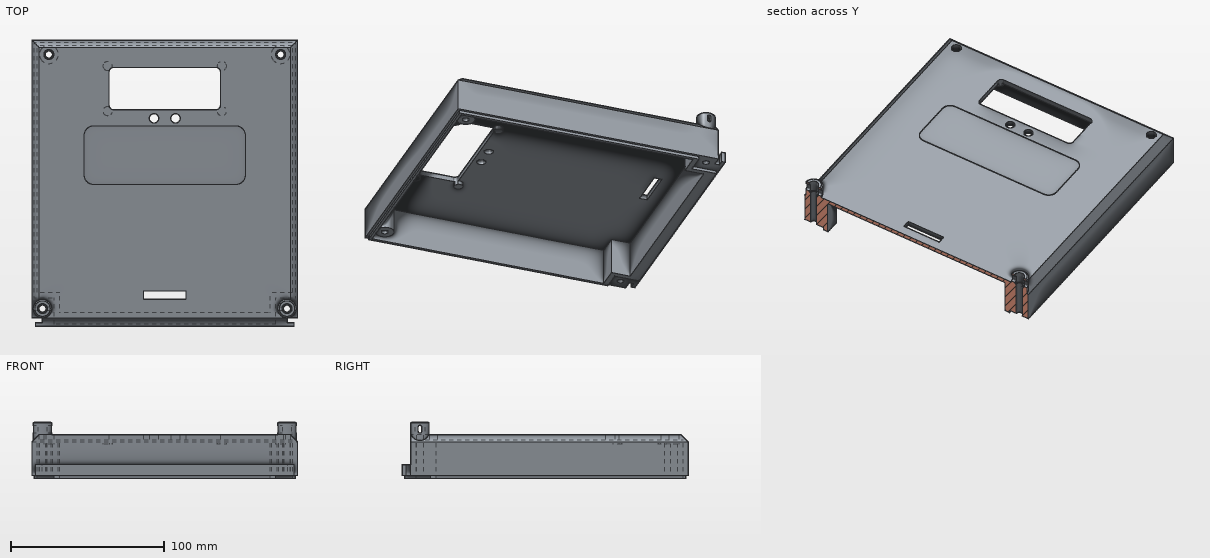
import cadquery as cq


body_width = 173.3
body_depth = 181.0
top_z = 28.7
body_bottom_z = 2.0
edge_chamfer = 4.8
plate_thickness = 3.5
wall_thickness = 3.5

lip_inset = 1.6
lip_front_reach = 4.0
lip_notch_width = 14.6
lip_notch_depth = 13.0

rail_reach = 5.6
rail_head_depth = 2.5
rail_head_width = 168.6
rail_neck_width = 159.8
rail_top_z = 9.2

post_diameter = 12.1
post_top_z = 37.0
post_chamfer_height = 0.7
post_chamfer_width = 1.0
post_x = 79.65
post_y = post_diameter / 2
post_bore_diameter = 6.5
screw_hole_diameter = 4.5
post_slot_width = 2.3
post_slot_height = 5.0
post_slot_middle_z = 32.3

rear_hole_x = 75.5
rear_hole_y = 171.6
rear_counterbore_diameter = 6.5
rear_counterbore_depth = 6.0
rear_pillar_diameter = 12.1

window_width = 72.4
window_height = 27.4
window_middle_y = 149.4
window_corner_radius = 2.8
standoff_diameter = 6.0
standoff_length = 2.5
standoff_offset = 1.0
lamp_hole_diameter = 6.0
lamp_hole_x = 7.0
lamp_hole_y = 130.0
slot_width = 27.4
slot_height = 5.3
slot_middle_y = 14.8

keypad_width = 105.0
keypad_height = 38.1
keypad_middle_y = 106.0
keypad_corner_radius = 6.0
keypad_depth = 0.4


def block(width, y_start, y_end, z_start, z_end, middle_x=0.0):
    """Box centred on middle_x, between two Y and two Z positions."""
    return (
        cq.Workplane("XY")
        .box(width, y_end - y_start, z_end - z_start, centered=(True, False, False))
        .translate((middle_x, y_start, z_start))
    )


def rod(diameter, x, y, z_start, z_end):
    """Vertical cylinder between two heights."""
    return cq.Workplane("XY", origin=(x, y, z_start)).circle(diameter / 2).extrude(z_end - z_start)


def make_body():
    """Outer block with its left, right and rear top edges chamfered."""
    body = block(body_width, 0, body_depth, body_bottom_z, top_z)
    return body.faces(">Z").edges("<X or >X or >Y").chamfer(edge_chamfer)


def make_lip():
    """Plate under the body, reaching past its front, with both front corners notched."""
    lip = block(body_width - 2 * lip_inset, -lip_front_reach, body_depth - lip_inset, 0, body_bottom_z)
    for side in (-1, 1):
        notch_middle_x = side * (body_width - lip_notch_width) / 2
        notch = block(lip_notch_width, -lip_front_reach, lip_notch_depth, 0, body_bottom_z, notch_middle_x)
        lip = lip.cut(notch)
    return lip


def make_rail():
    """T-shaped rail: a narrower neck against the body and a wider head in front."""
    head_back_y = rail_head_depth - rail_reach
    neck = block(rail_neck_width, head_back_y, 0, body_bottom_z, rail_top_z)
    head = block(rail_head_width, -rail_reach, head_back_y, body_bottom_z, rail_top_z)
    return neck.union(head)


def make_cavity():
    """Open-bottomed inside of the body, leaving solid front corners above the lip notches."""
    cavity_width = body_width - 2 * wall_thickness
    cavity_top_z = top_z - plate_thickness
    cavity = block(cavity_width, wall_thickness, body_depth - wall_thickness, 0, cavity_top_z)
    corner_width = lip_notch_width + wall_thickness
    corner_depth = lip_notch_depth + wall_thickness
    for side in (-1, 1):
        corner_middle_x = side * (body_width - corner_width) / 2
        cavity = cavity.cut(block(corner_width, 0, corner_depth, 0, cavity_top_z, corner_middle_x))
    return cavity


def make_post(x):
    """Round post standing in a front corner, with a chamfered top rim."""
    post = rod(post_diameter, x, post_y, top_z - edge_chamfer, post_top_z)
    return post.faces(">Z").edges().chamfer(post_chamfer_height, post_chamfer_width)


def cut_post_holes(part, x):
    """Wide bore down to the top plate, a screw hole below it and a slot across the post."""
    bore = rod(post_bore_diameter, x, post_y, top_z, post_top_z)
    screw_hole = rod(screw_hole_diameter, x, post_y, 0, post_top_z)
    cross_slot = (
        cq.Workplane("YZ", origin=(x - post_diameter / 2, post_y, post_slot_middle_z))
        .slot2D(post_slot_height, post_slot_width, 90)
        .extrude(post_diameter)
    )
    return part.cut(bore).cut(screw_hole).cut(cross_slot)


def make_rear_pillar(x):
    """Pillar around a rear screw hole, from the top plate to the bottom of the walls."""
    return rod(rear_pillar_diameter, x, rear_hole_y, body_bottom_z, top_z - plate_thickness)


def cut_rear_hole(part, x):
    """Counterbored screw hole through the top plate and its pillar."""
    screw_hole = rod(screw_hole_diameter, x, rear_hole_y, 0, top_z)
    counterbore = rod(rear_counterbore_diameter, x, rear_hole_y, top_z - rear_counterbore_depth, top_z)
    return part.cut(screw_hole).cut(counterbore)


def make_window_standoff(x_side, y_side):
    """Short standoff under a window corner; the window later cuts its inner part away."""
    x = x_side * (window_width / 2 + standoff_offset)
    y = window_middle_y + y_side * (window_height / 2 + standoff_offset)
    standoff_top_z = top_z - plate_thickness
    return rod(standoff_diameter, x, y, standoff_top_z - standoff_length, standoff_top_z)


def cut_plate_openings(part):
    """Window, two lamp holes and a slot through the top plate, and the shallow keypad recess."""
    plate_bottom_z = top_z - plate_thickness
    window_y = window_middle_y - window_height / 2
    window_bottom_z = plate_bottom_z - standoff_length
    window = block(window_width, window_y, window_y + window_height, window_bottom_z, top_z)
    part = part.cut(window.edges("|Z").fillet(window_corner_radius))

    for side in (-1, 1):
        part = part.cut(rod(lamp_hole_diameter, side * lamp_hole_x, lamp_hole_y, plate_bottom_z, top_z))

    slot_y = slot_middle_y - slot_height / 2
    part = part.cut(block(slot_width, slot_y, slot_y + slot_height, plate_bottom_z, top_z))

    keypad_y = keypad_middle_y - keypad_height / 2
    keypad = block(keypad_width, keypad_y, keypad_y + keypad_height, top_z - keypad_depth, top_z)
    return part.cut(keypad.edges("|Z").fillet(keypad_corner_radius))


part = make_body().union(make_lip()).union(make_rail()).cut(make_cavity())
for side in (-1, 1):
    part = part.union(make_post(side * post_x)).union(make_rear_pillar(side * rear_hole_x))
    part = part.union(make_window_standoff(side, -1)).union(make_window_standoff(side, 1))
    part = cut_post_holes(part, side * post_x)
    part = cut_rear_hole(part, side * rear_hole_x)

result = cut_plate_openings(part)